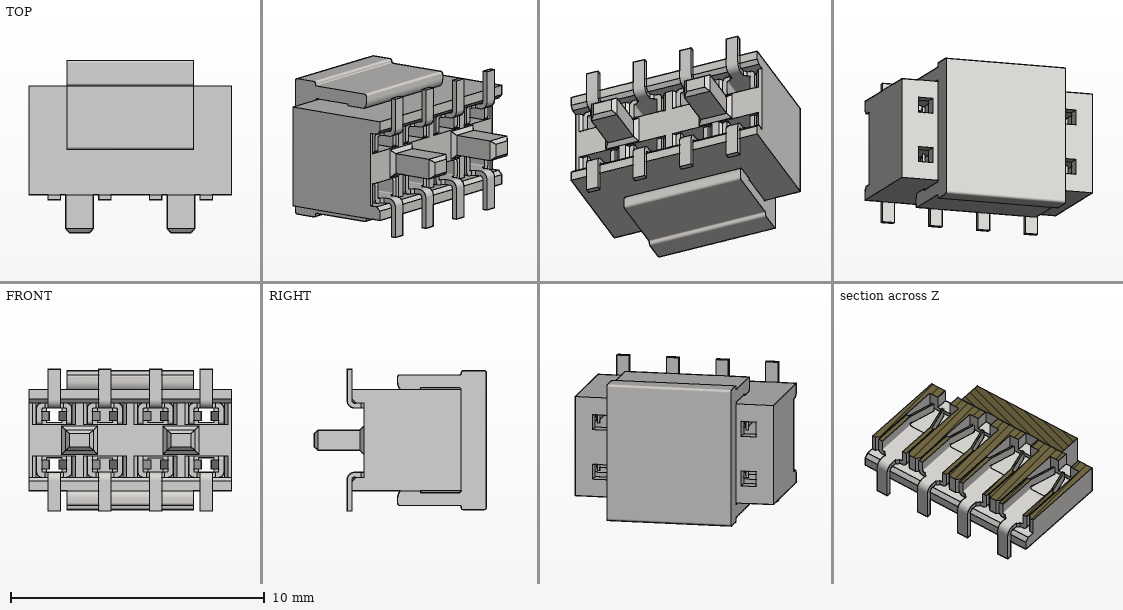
import cadquery as cq

contact_pitch = 2.0
contacts_per_row = 4
housing_width = contact_pitch * contacts_per_row
housing_depth = 4.3
housing_height = 4.0

recess_depth = 0.465
recess_half_height = 1.463
lip_chamfer = 0.155

cavity_half_width = 0.71
cavity_mouth_half_width = 0.85
cavity_mouth_depth = cavity_mouth_half_width - cavity_half_width
cavity_inner_z = 0.615
cavity_end_wall = 0.5
cavity_end_y = housing_depth - cavity_end_wall
pin_hole_half_width = 0.3
pin_hole_z = 1.0

post_spacing = 2 * contact_pitch
post_width = 1.1
post_height = 0.8
post_foot_flare = 0.16
post_length = 1.5
post_tip_length = 0.165
post_tip_width = 0.78
post_tip_height = 0.52

strip = 0.2
leg_width = 0.5
leg_end_z = 2.8
leg_bend_inner_radius = 0.11
leg_root_fillet = 0.11
channel_half_width = 0.69
channel_outer_radius = 0.2
channel_inner_radius = 0.05
channel_wall_end_z = 0.625
channel_wall_corner_radius = 0.12
channel_length = 1.8

beam_thickness = 0.1
beam_length = 1.15
beam_gap_half_width = 0.19
beam_inner_z = 0.775
beam_outer_z = 1.14

cap_width = 5.0
cap_thickness = 1.0
cap_half_height = 2.745
cap_edge_radius = 0.1
arm_root_radius = 0.05
arm_outer_z = 2.58
arm_gap = 0.065
arm_gap_front_slope = 0.025
arm_gap_front_y = 2.69
arm_tip_y = 1.79
arm_tip_contact_y = 1.9
arm_tip_nose_z = 2.3

housing_half_height = housing_height / 2
channel_front_y = recess_depth
contact_columns = [(i - (contacts_per_row - 1) / 2) * contact_pitch for i in range(contacts_per_row)]


def box(x_range, y_range, z_range):
    """Axis-aligned block between the given limits."""
    size = [high - low for low, high in (x_range, y_range, z_range)]
    corner = (x_range[0], y_range[0], z_range[0])
    return cq.Workplane("XY").box(*size, centered=False).translate(corner)


def both_sides(body, plane):
    """The body together with its mirror image, as one shape."""
    return body.union(body.mirror(plane))


def housing_block():
    """Block with the mounting-side recess running across its full width."""
    top = housing_half_height
    lip = recess_half_height
    profile = (
        cq.Workplane("YZ")
        .moveTo(housing_depth, -top)
        .lineTo(housing_depth, top)
        .lineTo(0, top)
        .lineTo(0, lip + lip_chamfer)
        .lineTo(lip_chamfer, lip)
        .lineTo(recess_depth, lip)
        .lineTo(recess_depth, -lip)
        .lineTo(lip_chamfer, -lip)
        .lineTo(0, -lip - lip_chamfer)
        .lineTo(0, -top)
        .close()
    )
    return profile.extrude(housing_width / 2, both=True)


def cavity():
    """Upper-row cavity at X = 0: tapered mouth, straight chamber and square pin hole."""
    chamber = (
        cq.Workplane("XY", origin=(0, 0, cavity_inner_z))
        .moveTo(-cavity_mouth_half_width, recess_depth)
        .lineTo(-cavity_half_width, recess_depth + cavity_mouth_depth)
        .lineTo(-cavity_half_width, cavity_end_y)
        .lineTo(cavity_half_width, cavity_end_y)
        .lineTo(cavity_half_width, recess_depth + cavity_mouth_depth)
        .lineTo(cavity_mouth_half_width, recess_depth)
        .close()
        .extrude(recess_half_height - cavity_inner_z)
    )
    pin_hole = box(
        (-pin_hole_half_width, pin_hole_half_width),
        (cavity_end_y, housing_depth),
        (pin_hole_z - pin_hole_half_width, pin_hole_z + pin_hole_half_width),
    )
    return chamber.union(pin_hole)


def post():
    """Rectangular locating post at X = 0 with a flared foot and a tapered tip."""
    foot_y = recess_depth - post_foot_flare
    tip_start_y = post_tip_length - post_length
    foot = (
        cq.Workplane("XZ", origin=(0, recess_depth, 0))
        .rect(post_width + 2 * post_foot_flare, post_height + 2 * post_foot_flare)
        .workplane(offset=post_foot_flare)
        .rect(post_width, post_height)
        .loft(ruled=True)
    )
    shaft = (
        cq.Workplane("XZ", origin=(0, foot_y, 0))
        .rect(post_width, post_height)
        .extrude(foot_y - tip_start_y)
    )
    tip = (
        cq.Workplane("XZ", origin=(0, tip_start_y, 0))
        .rect(post_width, post_height)
        .workplane(offset=post_tip_length)
        .rect(post_tip_width, post_tip_height)
        .loft(ruled=True)
    )
    return foot.union(shaft).union(tip)


def contact_channel():
    """U-shaped channel, open towards the housing centre, with rounded leading corners."""
    base_z = recess_half_height
    outer = box(
        (-channel_half_width, channel_half_width),
        (channel_front_y, channel_front_y + channel_length),
        (channel_wall_end_z, base_z),
    )
    outer = outer.edges("|Y and >Z").fillet(channel_outer_radius)
    inner_half_width = channel_half_width - strip
    inner = box(
        (-inner_half_width, inner_half_width),
        (channel_front_y, channel_front_y + channel_length),
        (channel_wall_end_z, base_z - strip),
    )
    inner = inner.edges("|Y and >Z").fillet(channel_inner_radius)
    return outer.cut(inner).edges("|X and <Y and <Z").fillet(channel_wall_corner_radius)


def contact_beam():
    """Spring beam on the +X side, slanting inwards from the end of the channel wall."""
    root_x = channel_half_width - strip
    root_y = channel_front_y + channel_length
    tip_y = root_y + beam_length
    return (
        cq.Workplane("XY", origin=(0, 0, beam_inner_z))
        .moveTo(root_x, root_y)
        .lineTo(beam_gap_half_width, tip_y)
        .lineTo(beam_gap_half_width + beam_thickness, tip_y)
        .lineTo(root_x + beam_thickness, root_y)
        .close()
        .extrude(beam_outer_z - beam_inner_z)
    )


def contact_leg():
    """Solder leg: runs out of the cavity, then bends outwards along the mounting face."""
    outer_z = recess_half_height
    inner_radius = leg_bend_inner_radius
    outer_radius = inner_radius + strip
    bend_z = outer_z + inner_radius
    leg = (
        cq.Workplane("YZ")
        .moveTo(channel_front_y, outer_z)
        .lineTo(inner_radius, outer_z)
        .tangentArcPoint((0, bend_z), relative=False)
        .lineTo(0, leg_end_z)
        .lineTo(-strip, leg_end_z)
        .lineTo(-strip, bend_z)
        .radiusArc((inner_radius, outer_z - strip), -outer_radius)
        .lineTo(channel_front_y, outer_z - strip)
        .close()
        .extrude(leg_width / 2, both=True)
    )
    fillet_y = channel_front_y - leg_root_fillet
    root_x = leg_width / 2
    root_fillet = (
        cq.Workplane("XY", origin=(0, 0, outer_z - strip))
        .moveTo(root_x, fillet_y)
        .radiusArc((root_x + leg_root_fillet, channel_front_y), -leg_root_fillet)
        .lineTo(root_x, channel_front_y)
        .close()
        .extrude(strip)
    )
    return leg.union(both_sides(root_fillet, "YZ"))


def contact():
    """Upper-row contact at X = 0."""
    return contact_channel().union(both_sides(contact_beam(), "YZ")).union(contact_leg())


def make_housing():
    """Housing with its posts and the contacts fixed in its two rows of cavities."""
    body = housing_block()
    cavity_pair = both_sides(cavity(), "XY")
    contact_pair = both_sides(contact(), "XY")
    for x in contact_columns:
        body = body.cut(cavity_pair.translate((x, 0, 0)))
        body = body.union(contact_pair.translate((x, 0, 0)))
    for x in (-post_spacing / 2, post_spacing / 2):
        body = body.union(post().translate((x, 0, 0)))
    return body


def make_cap():
    """Rear cover plate with a gripping arm above and below the housing."""
    rear_y = housing_depth + cap_thickness
    gap_z = housing_half_height + arm_gap
    upper_half = (
        cq.Workplane("YZ")
        .moveTo(rear_y, 0)
        .lineTo(rear_y, cap_half_height - cap_edge_radius)
        .tangentArcPoint((-cap_edge_radius, cap_edge_radius))
        .lineTo(housing_depth + cap_edge_radius, cap_half_height)
        .tangentArcPoint((-cap_edge_radius, -cap_edge_radius))
        .lineTo(housing_depth, arm_outer_z + arm_root_radius)
        .tangentArcPoint((-arm_root_radius, -arm_root_radius))
        .lineTo(arm_tip_y + cap_edge_radius, arm_outer_z)
        .tangentArcPoint((-cap_edge_radius, -cap_edge_radius))
        .lineTo(arm_tip_y, arm_tip_nose_z)
        .tangentArcPoint((arm_tip_contact_y, housing_half_height), relative=False)
        .lineTo(arm_gap_front_y, housing_half_height)
        .lineTo(arm_gap_front_y + arm_gap_front_slope, gap_z)
        .lineTo(housing_depth - arm_root_radius, gap_z)
        .lineTo(housing_depth, housing_half_height)
        .lineTo(housing_depth, 0)
        .close()
        .extrude(cap_width / 2, both=True)
    )
    return both_sides(upper_half, "XY")


housing = make_housing()
cap = make_cap()

result = cq.Compound.makeCompound([housing.val(), cap.val()])